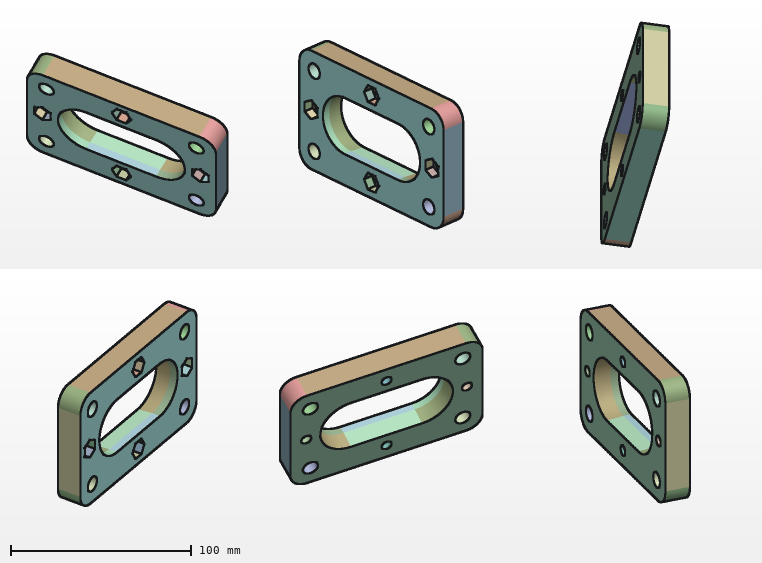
import cadquery as cq

length = 116.0
height = 74.0
thickness = 15.0
corner_radius = 10.0

slot_length = 78.0
slot_height = 35.0
slot_straight_depth = 5.0
flare = 1.0

corner_hole_diameter = 9.0
corner_hole_span_x = 92.0
corner_hole_span_z = 50.0

screw_hole_diameter = 6.0
nut_across_flats = 10.2
nut_depth = 6.0
nut_span_x = 97.0
nut_span_z = 54.5


def face_plane(depth):
    """Plane parallel to the front face, its normal pointing toward +Y."""
    return cq.Workplane(cq.Plane(origin=(0, depth, 0), xDir=(1, 0, 0), normal=(0, 1, 0)))


def make_plate():
    return (
        face_plane(0)
        .rect(length, height)
        .extrude(thickness)
        .edges("|Y")
        .fillet(corner_radius)
    )


def make_opening():
    flare_depth = thickness - slot_straight_depth
    front = face_plane(0).slot2D(slot_length, slot_height).extrude(slot_straight_depth)
    back = (
        face_plane(slot_straight_depth)
        .slot2D(slot_length, slot_height)
        .workplane(offset=flare_depth)
        .slot2D(slot_length + 2 * flare, slot_height + 2 * flare)
        .loft(ruled=True)
    )
    return front.union(back)


def make_corner_holes():
    return (
        face_plane(0)
        .rect(corner_hole_span_x, corner_hole_span_z, forConstruction=True)
        .vertices()
        .circle(corner_hole_diameter / 2)
        .extrude(thickness)
    )


def make_nut_hole(x, z, turn):
    """Through hole with a nut pocket; turn is the pocket's rotation in degrees."""
    hole = face_plane(0).circle(screw_hole_diameter / 2).extrude(thickness)
    pocket = face_plane(0).polygon(6, nut_across_flats, circumscribed=True).extrude(nut_depth)
    pocket = pocket.rotate((0, 0, 0), (0, 1, 0), turn)
    return hole.union(pocket).translate((x, 0, z))


result = make_plate().cut(make_opening()).cut(make_corner_holes())

for side in (-1, 1):
    result = result.cut(make_nut_hole(side * nut_span_x / 2, 0, 0))
    result = result.cut(make_nut_hole(0, side * nut_span_z / 2, 30))